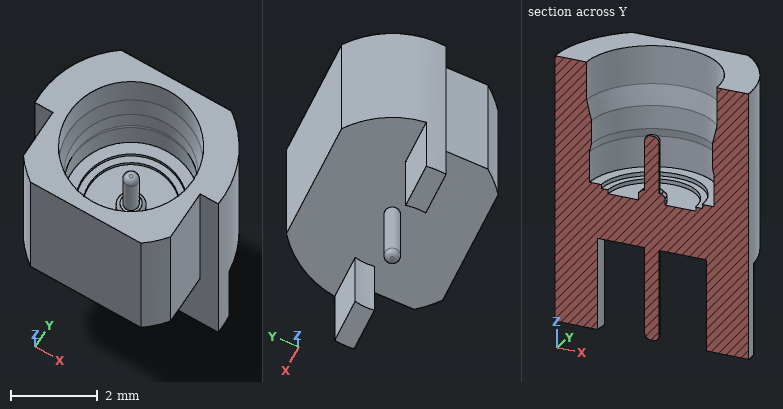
import cadquery as cq

total_height = 6.7
leg_length = 2.3
body_diameter = 5.0
body_width = 4.0

ear_front_y = -0.2
leg_back_y = 0.3
leg_inner_diameter = 2.8

entry_diameter = 3.35
entry_depth = 0.96
throat_diameter = 3.1
throat_start_depth = 1.455
throat_end_depth = 2.04
undercut_start_depth = 2.245
undercut_diameter = 3.2
socket_depth = 3.015
upper_recess_diameter = 2.6
lower_recess_diameter = 2.25
recess_step = 0.1

pin_diameter = 0.38
pin_tip_depth = 1.54
pin_tip_radius = 0.15
collar_diameter = 0.7
collar_top_diameter = 0.51
collar_height = 0.27
collar_chamfer = (collar_diameter - collar_top_diameter) / 2

body_height = total_height - leg_length
floor_z = total_height - socket_depth - 2 * recess_step


def cylinder(diameter, bottom_z, top_z):
    """Solid cylinder on the Z axis between two heights."""
    return cq.Workplane("XY").workplane(offset=bottom_z).circle(diameter / 2).extrude(top_z - bottom_z)


def make_body():
    """Cylinder with flats at +Y and -Y, narrowed to a square front ahead of the ears."""
    body = cylinder(body_diameter, leg_length, total_height)
    middle_z = leg_length + body_height / 2
    narrow_block = cq.Workplane("XY").box(body_width, body_width, body_height)
    ear_block_length = body_width / 2 - ear_front_y
    ear_block_y = (body_width / 2 + ear_front_y) / 2
    ear_block = cq.Workplane("XY").box(body_diameter, ear_block_length, body_height)
    envelope = narrow_block.union(ear_block.translate((0, ear_block_y, 0)))
    return body.intersect(envelope.translate((0, 0, middle_z)))


def make_legs():
    """Two legs cut from a ring, hanging below the body under the ears."""
    ring = cylinder(body_diameter, 0, leg_length).cut(cylinder(leg_inner_diameter, 0, leg_length))
    leg_thickness = leg_back_y - ear_front_y
    strip = cq.Workplane("XY").box(body_diameter, leg_thickness, leg_length)
    strip_y = (leg_back_y + ear_front_y) / 2
    return ring.intersect(strip.translate((0, strip_y, leg_length / 2)))


def make_socket():
    """Revolved bore: entry, taper, throat, flared undercut and a stepped floor."""
    half_profile = [
        (entry_diameter / 2, 0),
        (entry_diameter / 2, entry_depth),
        (throat_diameter / 2, throat_start_depth),
        (throat_diameter / 2, throat_end_depth),
        (undercut_diameter / 2, undercut_start_depth),
        (undercut_diameter / 2, socket_depth),
        (upper_recess_diameter / 2, socket_depth),
        (upper_recess_diameter / 2, socket_depth + recess_step),
        (lower_recess_diameter / 2, socket_depth + recess_step),
        (lower_recess_diameter / 2, socket_depth + 2 * recess_step),
        (0, socket_depth + 2 * recess_step),
    ]
    profile = cq.Workplane("XZ").moveTo(0, total_height)
    for radius, depth in half_profile:
        profile = profile.lineTo(radius, total_height - depth)
    return profile.close().revolve(360, (0, 0, 0), (0, 1, 0))


def make_pin():
    """Round-ended pin through the floor, with a chamfered collar."""
    pin = cylinder(pin_diameter, 0, total_height - pin_tip_depth).faces("|Z").edges().fillet(pin_tip_radius)
    collar = cylinder(collar_diameter, floor_z, floor_z + collar_height)
    return pin.union(collar.faces(">Z").chamfer(collar_chamfer))


result = make_body().union(make_legs()).cut(make_socket()).union(make_pin())